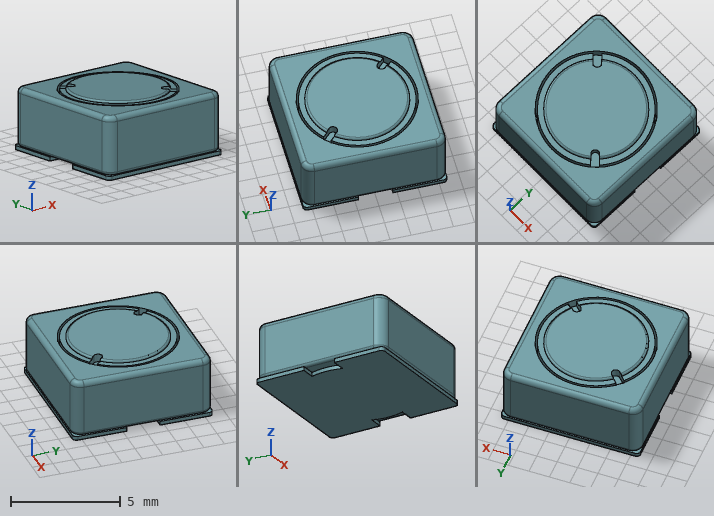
import cadquery as cq
import math

side = 6.8
total_height = 3.1

base_thickness = 0.2
base_corner_radius = 0.2
notch_width = 1.62

housing_corner_radius = 0.5
housing_top_fillet = 0.25
housing_bottom_fillet = 0.15
ring_gap = 0.1

core_radius = 2.69
cap_radius = 2.41
cap_height = 0.1
slot_width = 0.4
slot_depth = 0.4
slot_tip_radius = 1.985
slot_angles = (135, 315)

housing_top = total_height - cap_height
housing_height = housing_top - base_thickness
bore_radius = core_radius + ring_gap


def make_base():
    """Square plate with a notch in the -X and +X sides, each ending below the bore wall."""
    plate = cq.Workplane("XY").rect(side, side).extrude(base_thickness)
    plate = plate.edges("|Z").fillet(base_corner_radius)
    notches = cq.Workplane("XY").rect(side, notch_width).extrude(base_thickness)
    floor_disc = cq.Workplane("XY").circle(bore_radius).extrude(base_thickness)
    return plate.cut(notches.cut(floor_disc))


def make_housing():
    """Rounded square block with a round bore for the core."""
    block = cq.Workplane("XY", origin=(0, 0, base_thickness)).rect(side, side).extrude(housing_height)
    block = block.edges("|Z").fillet(housing_corner_radius)
    block = block.faces(">Z").edges().fillet(housing_top_fillet)
    block = block.faces("<Z").edges().fillet(housing_bottom_fillet)
    bore = cq.Workplane("XY", origin=(0, 0, base_thickness)).circle(bore_radius).extrude(housing_height)
    return block.cut(bore)


def make_wire_slot(angle):
    """Cutter for a radial slot with a round inner end, open at the core's outer wall."""
    tip_center = slot_tip_radius + slot_width / 2
    slot_length = bore_radius - tip_center
    slot_floor = total_height - slot_depth
    channel = (
        cq.Workplane("XY", origin=(tip_center + slot_length / 2, 0, slot_floor))
        .rect(slot_length, slot_width)
        .extrude(slot_depth)
    )
    tip = cq.Workplane("XY", origin=(tip_center, 0, slot_floor)).circle(slot_width / 2).extrude(slot_depth)
    return channel.union(tip).rotate((0, 0, 0), (0, 0, 1), angle)


def make_core():
    """Round core standing on the base, with a raised rounded cap and two wire slots."""
    arc_middle = (cap_radius - cap_height * (1 - math.sqrt(0.5)), housing_top + cap_height * math.sqrt(0.5))
    core = (
        cq.Workplane("XZ")
        .moveTo(0, base_thickness)
        .lineTo(core_radius, base_thickness)
        .lineTo(core_radius, housing_top)
        .lineTo(cap_radius, housing_top)
        .threePointArc(arc_middle, (cap_radius - cap_height, total_height))
        .lineTo(0, total_height)
        .close()
        .revolve(360, (0, 0, 0), (0, 1, 0))
    )
    for angle in slot_angles:
        core = core.cut(make_wire_slot(angle))
    return core


base = make_base()
housing = make_housing()
core = make_core()

result = cq.Compound.makeCompound([
    base.solids().val(),
    housing.solids().val(),
    core.solids().val(),
])